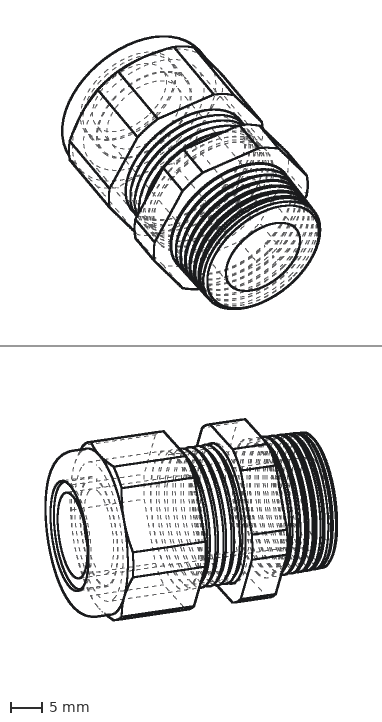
import cadquery as cq
import math


LENGTH = 42.0
SEAT_DEPTH = 5.0
CAP_LENGTH = 18.0
COLLAR_START = 26.0
COLLAR_END = 32.0
FRONT_X = -LENGTH / 2

ACROSS_FLATS = 27.0
CORNER_DIAMETER = 29.0

CAP_ROUND = 2.6
NOSE_LENGTH = 5.05
CORNER_CHAMFER_ANGLE = 30.0
CAP_OPENING_RADIUS = 8.95

BORE_RADIUS = 6.97
INSERT_RADIUS = 8.75
INSERT_RECESS = 0.5

CREST_RADIUS = 11.35
ROOT_RADIUS = 10.63
PITCH = 1.4
GROOVE_RADIUS = 11.42
NECK_GROOVE_START = 18.77
NECK_GROOVE_COUNT = 6
END_GROOVE_START = 32.9
END_GROOVE_COUNT = 7
END_TAPER = 1 / 32
END_CHAMFER = 0.4
END_RADIUS = 10.5


def cylinder(start, end, radius):
    """Cylinder on the X axis between two stations."""
    return cq.Workplane("YZ", origin=(FRONT_X + start, 0, 0)).circle(radius).extrude(end - start)


def revolved(points):
    """Solid of revolution about X from (station, radius) points."""
    outline = [(FRONT_X + station, radius) for station, radius in points]
    return cq.Workplane("XY").polyline(outline).close().revolve(360, (0, 0, 0), (1, 0, 0))


def hexagon(start, end):
    """Hexagonal prism with flats facing +Z and -Z and turned corners."""
    full_corner_diameter = ACROSS_FLATS / math.cos(math.radians(30))
    prism = (
        cq.Workplane("YZ", origin=(FRONT_X + start, 0, 0))
        .polygon(6, full_corner_diameter)
        .extrude(end - start)
    )
    return prism.intersect(cylinder(start, end, CORNER_DIAMETER / 2))


def cut_grooves(blank, first_root, count):
    """Cut a row of V grooves, one pitch apart, into a turned blank."""
    flank_run = PITCH / 2 / (CREST_RADIUS - ROOT_RADIUS)
    half_width = (GROOVE_RADIUS - ROOT_RADIUS) * flank_run
    for index in range(count):
        root = first_root + index * PITCH
        groove = revolved([
            (root - half_width, GROOVE_RADIUS),
            (root, ROOT_RADIUS),
            (root + half_width, GROOVE_RADIUS),
        ])
        blank = blank.cut(groove)
    return blank


def make_cap():
    nose_radius = ACROSS_FLATS / 2
    nose = cylinder(0, NOSE_LENGTH, nose_radius).faces("<X").edges().fillet(CAP_ROUND)

    corner_height = CORNER_DIAMETER / 2 - nose_radius
    cone_end = NOSE_LENGTH + corner_height * math.tan(math.radians(CORNER_CHAMFER_ANGLE))
    corner_limit = revolved([
        (NOSE_LENGTH, 0),
        (NOSE_LENGTH, nose_radius),
        (cone_end, CORNER_DIAMETER / 2),
        (CAP_LENGTH, CORNER_DIAMETER / 2),
        (CAP_LENGTH, 0),
    ])
    cap = nose.union(hexagon(NOSE_LENGTH, CAP_LENGTH).intersect(corner_limit))

    cap = cap.cut(cylinder(0, SEAT_DEPTH, CAP_OPENING_RADIUS))
    return cap.cut(cylinder(SEAT_DEPTH, CAP_LENGTH, CREST_RADIUS))


def make_insert():
    sleeve = cylinder(INSERT_RECESS, SEAT_DEPTH, INSERT_RADIUS)
    return sleeve.cut(cylinder(INSERT_RECESS, SEAT_DEPTH, BORE_RADIUS))


def make_body():
    neck = cylinder(SEAT_DEPTH, COLLAR_START, CREST_RADIUS)
    collar = hexagon(COLLAR_START, COLLAR_END)

    chamfer_start = LENGTH - END_CHAMFER
    tapered_radius = CREST_RADIUS - END_TAPER * (chamfer_start - COLLAR_END)
    connection = revolved([
        (COLLAR_END, 0),
        (COLLAR_END, CREST_RADIUS),
        (chamfer_start, tapered_radius),
        (LENGTH, END_RADIUS),
        (LENGTH, 0),
    ])
    body = neck.union(collar).union(connection)

    body = cut_grooves(body, NECK_GROOVE_START, NECK_GROOVE_COUNT)
    body = cut_grooves(body, END_GROOVE_START, END_GROOVE_COUNT)
    return body.cut(cylinder(SEAT_DEPTH, LENGTH, BORE_RADIUS))


cap = make_cap()
insert = make_insert()
body = make_body()

result = cq.Compound.makeCompound([cap.val(), insert.val(), body.val()])